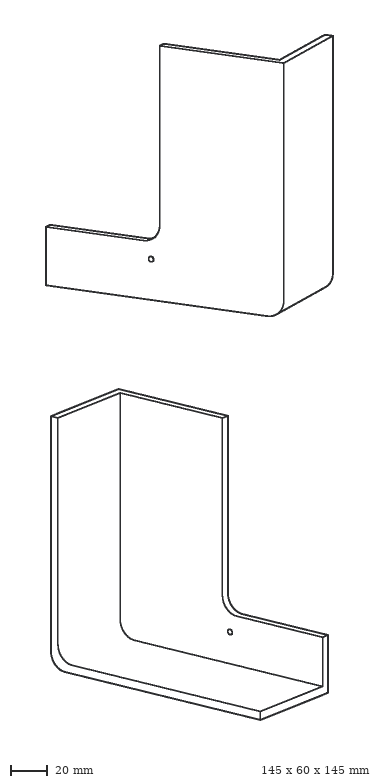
import cadquery as cq

length = 145.0
depth = 60.0
height = 145.0

wall = 5.0
foot_height = 33.2
upright_width = 75.7
corner_radius = 10.0

hole_diameter = 3.0
hole_x = 64.1
hole_z = 23.2


def extrude_back(sketch, distance):
    """Extrude an XZ outline from the front face toward +Y."""
    return sketch.extrude(-distance)


def front_plate():
    outline = (
        cq.Workplane("XZ")
        .polyline([
            (0, 0),
            (length, 0),
            (length, height),
            (length - upright_width, height),
            (length - upright_width, foot_height),
            (0, foot_height),
        ])
        .close()
    )
    plate = extrude_back(outline, wall)
    inside_corner = cq.selectors.NearestToPointSelector(
        (length - upright_width, wall / 2, foot_height)
    )
    return plate.edges(inside_corner).fillet(corner_radius)


def flange():
    """Base and right-hand wall, with a rounded inner corner."""
    outline = (
        cq.Workplane("XZ")
        .moveTo(0, 0)
        .lineTo(length, 0)
        .lineTo(length, height)
        .lineTo(length - wall, height)
        .lineTo(length - wall, wall + corner_radius)
        .radiusArc((length - wall - corner_radius, wall), corner_radius)
        .lineTo(0, wall)
        .close()
    )
    return extrude_back(outline, depth)


def plate_hole():
    circle = cq.Workplane("XZ").center(hole_x, hole_z).circle(hole_diameter / 2)
    return extrude_back(circle, wall)


bracket = front_plate().union(flange())
outer_corner = cq.selectors.NearestToPointSelector((length, depth / 2, 0))
result = bracket.edges(outer_corner).fillet(corner_radius).cut(plate_hole())